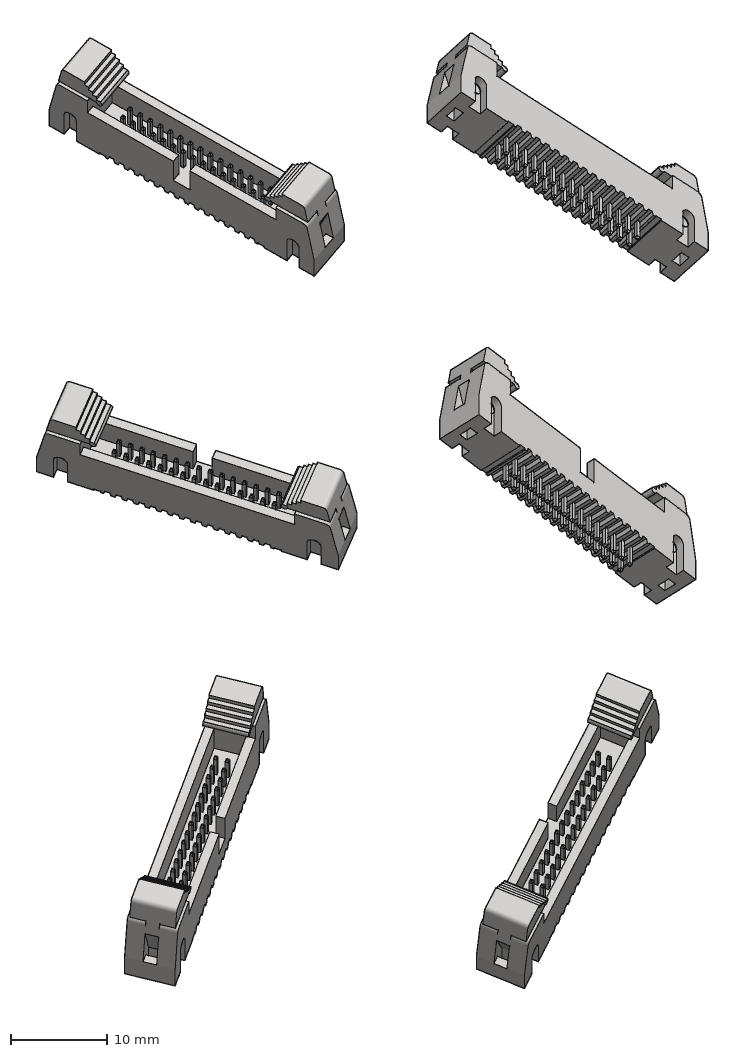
import cadquery as cq
import math

length = 33.55
width = 5.5
wall = 1.0
wall_top = 6.27
floor_top = 2.85
inner_half_length = 11.9

tower_top = 8.4
foot_height = floor_top
lean = math.tan(math.radians(10))
tower_corner_radius = 0.6

latch_corner_radius = 0.55
latch_width = 4.95
latch_bottom = 8.6
latch_top = 11.05
step_size = 0.5
step_count = 4
first_step_x = 12.48
grip_x = 10.65
grip_z = 8.65
grip_radius = 0.37

stem_width = 1.48
window_top = 6.8
window_slope = math.tan(math.radians(18))
sill_depth = 0.95

pivot_x = 14.1
pivot_z = 3.55
pivot_radius = 0.75
pivot_clearance = 0.05
pivot_end_height = 0.1

key_width = 2.1

pins_per_row = 15
pin_row_length = 17.78
pin_pitch = pin_row_length / (pins_per_row - 1)
row_spacing = 1.27
pin_width = 0.4
pin_top = 5.7
pin_bottom = -2.25
pin_tip_length = 0.3
pin_tip_width = 0.17

trough_height = 0.5
trough_top_width = 0.5
trough_bottom_width = 0.85
relief_start = 9.63
relief_end = 10.4
relief_height = 0.2

half_length = length / 2
half_width = width / 2
inner_half_width = half_width - wall
pin_xs = [(i - (pins_per_row - 1) / 2) * pin_pitch for i in range(pins_per_row)]


def box(x_min, x_max, y_min, y_max, z_min, z_max):
    """Box given by its limits along each axis."""
    size = (x_max - x_min, y_max - y_min, z_max - z_min)
    return cq.Workplane("XY").box(*size, centered=False).translate((x_min, y_min, z_min))


def extrude_along_y(points, y_width):
    """Closed XZ outline extruded symmetrically about the Y = 0 plane."""
    return cq.Workplane("XZ").polyline(points).close().extrude(y_width / 2, both=True)


def cylinder_along_y(x, z, radius, y_width):
    """Cylinder with its axis along Y, symmetric about the Y = 0 plane."""
    return cq.Workplane("XZ").center(x, z).circle(radius).extrude(y_width / 2, both=True)


def lean_x(z):
    """X of the leaning outer face of the left tower at height z."""
    return -half_length + (z - foot_height) * lean


def both_ends(left):
    """A left-end feature together with its mirror image at the right end."""
    return left.union(left.mirror("YZ"))


def make_tower():
    """Left tower, solid, with its upper outer corner rounded."""
    outline = [
        (-half_length, 0),
        (-half_length, foot_height),
        (lean_x(tower_top), tower_top),
        (-inner_half_length, tower_top),
        (-inner_half_length, 0),
    ]
    tower = extrude_along_y(outline, width)
    return tower.edges("|Y").edges(">Z").edges("<X").fillet(tower_corner_radius)


def make_latch():
    """Stepped lever head with a rounded grip along its tip, on a narrow stem."""
    outline = [(lean_x(latch_bottom), latch_bottom), (lean_x(latch_top), latch_top)]
    for i in range(step_count + 1):
        x = -first_step_x + i * step_size
        z = latch_top - i * step_size
        outline += [(x, z), (x, z - step_size)]
    last_x = outline[-1][0]
    outline[-1] = (last_x, latch_bottom)
    head = extrude_along_y(outline, latch_width)
    head = head.edges("|Y").edges(">Z").edges("<X").fillet(latch_corner_radius)
    grip = cylinder_along_y(-grip_x, grip_z, grip_radius, latch_width)
    stem = extrude_along_y(
        [
            (lean_x(window_top), window_top),
            (lean_x(latch_bottom), latch_bottom),
            (-inner_half_length, latch_bottom),
            (-inner_half_length, window_top),
        ],
        stem_width,
    )
    return head.union(grip).union(stem)


def make_window():
    """Slot below the stem, open to the outer face above the sill and to the underside behind it."""
    back_x = lean_x(window_top) + (window_top - foot_height) * window_slope
    outline = [
        (-half_length, foot_height),
        (lean_x(window_top), window_top),
        (back_x, foot_height),
        (back_x, 0),
        (-half_length + sill_depth, 0),
        (-half_length + sill_depth, foot_height),
    ]
    return extrude_along_y(outline, stem_width)


def make_pivot_slots():
    """Round-topped slots through the front and back walls, open at the bottom."""
    radius = pivot_radius + pivot_clearance
    slot = extrude_along_y(
        [
            (-pivot_x - radius, 0),
            (-pivot_x - radius, pivot_z),
            (-pivot_x + radius, pivot_z),
            (-pivot_x + radius, 0),
        ],
        width,
    )
    arch = cylinder_along_y(-pivot_x, pivot_z, radius, width)
    core = box(-half_length, 0, -inner_half_width, inner_half_width, 0, tower_top)
    return slot.union(arch).cut(core)


def make_pivot():
    """Round lever pivot standing slightly proud of the back of each slot."""
    span = 2 * (inner_half_width + pivot_end_height)
    return cylinder_along_y(-pivot_x, pivot_z, pivot_radius, span)


def make_trough(x):
    """Tapered trough across the underside around one pair of pins."""
    half_top = trough_top_width / 2
    half_bottom = trough_bottom_width / 2
    outline = [
        (x - half_bottom, 0),
        (x - half_top, trough_height),
        (x + half_top, trough_height),
        (x + half_bottom, 0),
    ]
    return extrude_along_y(outline, width)


def make_pin():
    """Square pin on the Z axis with a tapered tip at each end."""
    shank_bottom = pin_bottom + pin_tip_length
    shank_top = pin_top - pin_tip_length
    half = pin_width / 2
    pin = box(-half, half, -half, half, shank_bottom, shank_top)
    for shank_end, tip_end in ((shank_bottom, pin_bottom), (shank_top, pin_top)):
        tip = (
            cq.Workplane("XY", origin=(0, 0, shank_end))
            .rect(pin_width, pin_width)
            .workplane(offset=tip_end - shank_end)
            .rect(pin_tip_width, pin_tip_width)
            .loft()
        )
        pin = pin.union(tip)
    return pin


tray = box(-inner_half_length, inner_half_length, -half_width, half_width, 0, wall_top)
cavity = box(
    -inner_half_length, inner_half_length, -inner_half_width, inner_half_width, floor_top, wall_top
)
key_notch = box(-key_width / 2, key_width / 2, -half_width, -inner_half_width, floor_top, wall_top)
result = tray.cut(cavity).cut(key_notch)

result = result.union(both_ends(make_tower()))
result = result.cut(both_ends(make_window()))
result = result.cut(both_ends(make_pivot_slots()))
result = result.union(both_ends(make_pivot().cut(make_window())))
result = result.union(both_ends(make_latch()))

relief = box(-relief_end, -relief_start, -half_width, half_width, 0, relief_height)
result = result.cut(both_ends(relief))
for pin_x in pin_xs:
    result = result.cut(make_trough(pin_x))

pin_shape = make_pin()
for pin_x in pin_xs:
    for pin_y in (-row_spacing / 2, row_spacing / 2):
        result = result.union(pin_shape.translate((pin_x, pin_y, 0)))